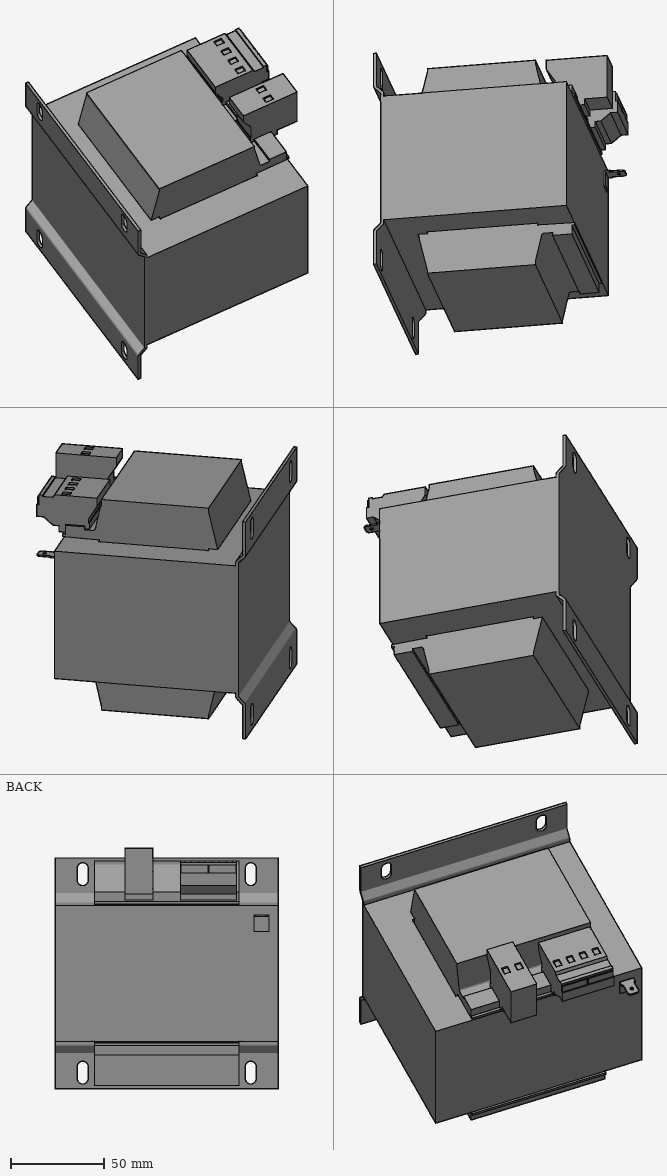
import cadquery as cq
import math


width = 120.0
bracket_height = 124.1
sheet = 1.7
bracket_offset = 4.0
bend_height = 19.9
inner_bend_radius = 0.5
outer_bend_radius = inner_bend_radius + sheet
mid_z = bracket_height / 2

slot_width = 5.8
slot_length = 12.2
slot_half_spacing_x = 45.1
slot_edge_distance = 8.8

core_height = 72.9
core_front = bracket_offset + sheet
core_back = 105.5
core_top = mid_z + core_height / 2
window_width = 80.2
window_front = 25.5
window_back = 85.9

bobbin_width = 77.8
bobbin_top = 122.3
bobbin_rim = 2.0
bobbin_front = 20.4
bobbin_back_top = 84.5
front_gap = 0.5
tip_gap = 0.81

wall_foot = 88.2
wall_foot_radius = 1.5
rail_floor = 104.2
rail_top = 105.9
rail_front = 94.0
rail_back = 104.5
tongue_top = 100.7
tongue_back = 106.0

block_width = 15.0
block_front = 87.3
block_back = 120.6
low_block_top = 122.3
high_block_top = 129.3
low_block_centers = (-2 * block_width, -block_width)
high_block_center = block_width
neck_front = 92.0
claw_front = 91.5
claw_top = 107.7
face_height = 5.2
neck_drop = 12.4
underside = 104.7
foot_back = 108.4
foot_bottom = 101.4

lip_back = 119.3
lip_front = 117.3
lip_top = 121.5
recess_floor = 120.8
recess_front = 111.7
recess_slope = 1.2
ledge_z = 115.9
strip_thickness = 0.8
strip_inset = 0.3
strip_top = 120.2
back_bottom = 109.1
back_bottom_depth = 3.9
back_slope_end = 111.5

opening_x = 3.4
opening_y = 4.5
opening_depth = 1.0
opening_offset = 3.7
opening_center_y = 105.0

tab_center_x = -51.0
tab_sheet = 0.9
tab_top = 93.5
tab_bottom = 84.4
tab_base_width = 8.0
tab_base_end = 108.9
tab_width = 6.3
tab_end = 116.6
tab_chamfer = 1.0
tab_hole = 1.8
tab_hole_y = 113.0
tab_bend_radius = 1.2


def extrude_along_x(points, length, center_x=0.0):
    """Extrude a closed (Y, Z) outline along X, centred on center_x."""
    outline = cq.Workplane("YZ", origin=(center_x, 0, 0)).polyline(points).close()
    return outline.extrude(length / 2, both=True)


def box(x_size, y_start, y_end, z_start, z_end, center_x=0.0):
    """Box centred on center_x, given by its Y and Z limits."""
    size = (x_size, y_end - y_start, z_end - z_start)
    corner = (center_x - x_size / 2, y_start, z_start)
    return cq.Workplane("XY").box(*size, centered=False).translate(corner)


def round_edge_along_x(body, middle, radius):
    """Fillet the edge parallel to X whose middle is nearest to the given point."""
    nearest = cq.selectors.NearestToPointSelector(middle)
    return body.edges("|X").edges(nearest).fillet(radius)


def with_mirror(half):
    """Join a body with its mirror image about the middle height."""
    lower = half.mirror("XY", (0, 0, mid_z))
    return half.union(lower)


def make_bracket():
    """Plate behind the core, stepped forward through 45 degree bends to slotted flanges."""
    bend_top = bend_height + bracket_offset
    back_shift = sheet * (math.sqrt(2) - 1)
    lower_half = extrude_along_x(
        [
            (0, 0),
            (0, bend_height),
            (bracket_offset, bend_top),
            (bracket_offset, mid_z),
            (core_front, mid_z),
            (core_front, bend_top - back_shift),
            (sheet, bend_height - back_shift),
            (sheet, 0),
        ],
        width,
    )
    bends = [
        (0, bend_height, outer_bend_radius),
        (sheet, bend_height - back_shift, inner_bend_radius),
        (bracket_offset, bend_top, inner_bend_radius),
        (core_front, bend_top - back_shift, outer_bend_radius),
    ]
    for y, z, radius in bends:
        lower_half = round_edge_along_x(lower_half, (0, y, z), radius)
    slots = (
        cq.Workplane("XZ")
        .pushPoints([(side * slot_half_spacing_x, slot_edge_distance) for side in (-1, 1)])
        .slot2D(slot_length, slot_width, 90)
        .extrude(-sheet)
    )
    return with_mirror(lower_half.cut(slots))


def make_core():
    """Laminated core, open through Z around the coil."""
    core = box(width, core_front, core_back, mid_z - core_height / 2, core_top)
    window = box(window_width, window_front, window_back, 0, bracket_height)
    return core.cut(window)


def make_bobbin():
    """Coil through the window, with sloped end walls and a terminal rail at both ends."""
    flange_bottom = core_top + front_gap
    upper_half = extrude_along_x(
        [
            (window_front, mid_z),
            (window_front, flange_bottom),
            (bobbin_front, flange_bottom),
            (window_front, bobbin_top - bobbin_rim),
            (window_front, bobbin_top),
            (bobbin_back_top, bobbin_top),
            (bobbin_back_top, bobbin_top - bobbin_rim),
            (wall_foot, rail_floor),
            (rail_front, rail_floor),
            (rail_front, rail_top),
            (rail_back, rail_top),
            (rail_back, tongue_top),
            (tongue_back, tongue_top),
            (tongue_back, core_top + tip_gap),
            (window_back, flange_bottom),
            (window_back, mid_z),
        ],
        bobbin_width,
    )
    upper_half = round_edge_along_x(upper_half, (0, wall_foot, rail_floor), wall_foot_radius)
    return with_mirror(upper_half)


def block_front_points(top):
    """Front and underside of a block, from its foot around to the top of its front face."""
    face_bottom = top - face_height
    return [
        (foot_back, underside),
        (foot_back, foot_bottom),
        (rail_back, foot_bottom),
        (rail_back, rail_top),
        (rail_front, rail_top),
        (rail_front, rail_floor),
        (claw_front, rail_floor),
        (claw_front, claw_top),
        (neck_front, claw_top),
        (neck_front, top - neck_drop),
        (block_front, face_bottom),
        (block_front, top),
    ]


def wire_openings(center_x, top):
    """Pair of shallow rectangular openings in the top of a block."""
    centers = [(center_x + side * opening_offset, opening_center_y) for side in (-1, 1)]
    start = cq.Workplane("XY", origin=(0, 0, top - opening_depth))
    return start.pushPoints(centers).rect(opening_x, opening_y).extrude(opening_depth)


def make_high_block(center_x):
    """Tall block with a plain upright back."""
    back_points = [(block_back, high_block_top), (block_back, underside)]
    outline = block_front_points(high_block_top) + back_points
    block = extrude_along_x(outline, block_width, center_x)
    return block.cut(wire_openings(center_x, high_block_top))


def make_low_block(center_x):
    """Low block with a label recess behind the openings and a stepped back."""
    back_points = [
        (recess_front - recess_slope, low_block_top),
        (recess_front, recess_floor),
        (lip_front, recess_floor),
        (lip_front, lip_top),
        (lip_back, lip_top),
        (lip_back, ledge_z),
        (block_back, ledge_z),
        (block_back, back_bottom),
        (block_back - back_bottom_depth, back_bottom),
        (back_slope_end, underside),
    ]
    outline = block_front_points(low_block_top) + back_points
    block = extrude_along_x(outline, block_width, center_x)
    strip_width = block_width - 2 * strip_inset
    strip_back = lip_back + strip_thickness
    strip = box(strip_width, lip_back, strip_back, ledge_z, strip_top, center_x)
    return block.union(strip).cut(wire_openings(center_x, low_block_top))


def make_earth_tab():
    """Bent blade terminal with a locking hole, fixed to the back of the core."""
    leg_back = core_back + tab_sheet
    blade_bottom = tab_top - tab_sheet
    leg = box(tab_base_width, core_back, leg_back, tab_bottom, tab_top, tab_center_x)
    base = box(tab_base_width, core_back, tab_base_end, blade_bottom, tab_top, tab_center_x)
    bend = leg.union(base)
    bend = round_edge_along_x(bend, (tab_center_x, core_back, tab_top), tab_bend_radius)
    blade = box(tab_width, tab_base_end, tab_end, blade_bottom, tab_top, tab_center_x)
    blade = blade.edges("|Z and >Y").chamfer(tab_chamfer)
    hole = (
        cq.Workplane("XY", origin=(tab_center_x, tab_hole_y, blade_bottom))
        .circle(tab_hole / 2)
        .extrude(tab_sheet)
    )
    return bend.union(blade).cut(hole)


result = make_core().union(make_bracket()).union(make_bobbin())
for low_center in low_block_centers:
    result = result.union(make_low_block(low_center))
result = result.union(make_high_block(high_block_center))
result = result.union(make_earth_tab())